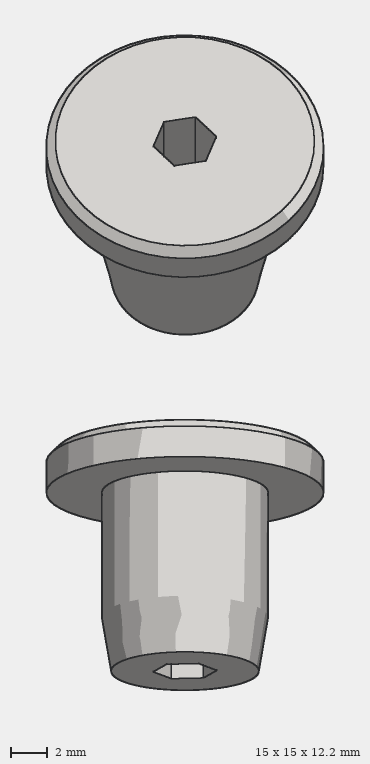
import cadquery as cq

total_height = 12.2
head_diameter = 15.0
head_thickness = 2.2
head_chamfer = 0.5
shank_diameter = 9.0
tip_diameter = 8.0
tip_length = 3.0
hex_across_flats = 3.0
hex_turn = 30

head_radius = head_diameter / 2
shank_radius = shank_diameter / 2
tip_radius = tip_diameter / 2
head_underside = total_height - head_thickness


def plug_body():
    """Chamfered head, straight shank and tapered tip as one revolved half-profile."""
    return (
        cq.Workplane("XZ")
        .moveTo(0, 0)
        .lineTo(tip_radius, 0)
        .lineTo(shank_radius, tip_length)
        .lineTo(shank_radius, head_underside)
        .lineTo(head_radius, head_underside)
        .lineTo(head_radius, total_height - head_chamfer)
        .lineTo(head_radius - head_chamfer, total_height)
        .lineTo(0, total_height)
        .close()
        .revolve(360, (0, 0, 0), (0, 1, 0))
    )


def hex_through_hole():
    """Hexagonal prism along the axis, with two corners on the X axis."""
    return (
        cq.Workplane("XY")
        .transformed(rotate=(0, 0, hex_turn))
        .polygon(6, hex_across_flats, circumscribed=True)
        .extrude(total_height)
    )


result = plug_body().cut(hex_through_hole())